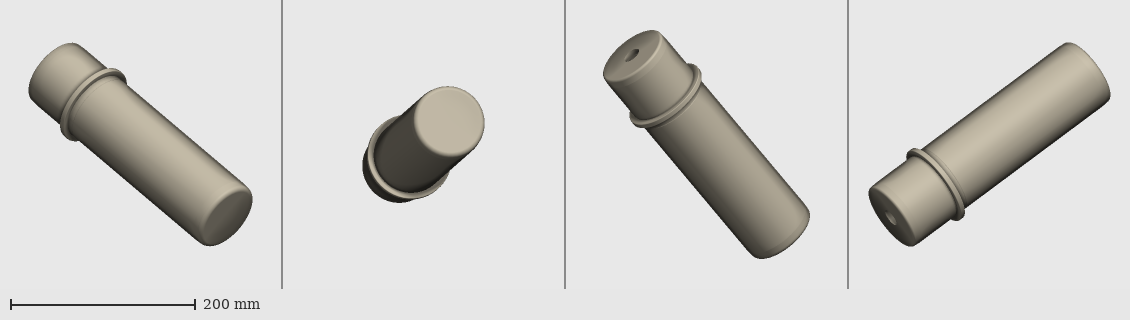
import cadquery as cq
import math

length = 280.0
body_radius = 40.0
flange_radius = 46.5
flange_start = 60.2
flange_end = 66.0
flange_edge_round = 0.8

taper_length = 6.7
taper_drop = 0.5
near_round = 2.8
far_round = 5.0

near_groove_width = 1.7
near_groove_depth = 0.5
relief_width = 7.8
relief_depth = 0.3
relief_entry_length = 1.7
relief_exit_length = 0.8

hole_radius = 7.5
counterbore_radius = 9.8
counterbore_depth = 6.5
hole_depth = 28.0
drill_point_angle = 120.0


def make_body():
    """Revolve the pin outline, including the lead-in tapers and rounded rims."""
    rim_radius = body_radius - taper_drop
    near_taper_start = near_round
    far_taper_end = length - far_round
    diagonal = 1 - math.sqrt(0.5)
    return (
        cq.Workplane("XY")
        .moveTo(0, 0)
        .lineTo(0, rim_radius - near_round)
        .threePointArc(
            (near_round * diagonal, rim_radius - near_round * diagonal),
            (near_taper_start, rim_radius),
        )
        .lineTo(near_taper_start + taper_length, body_radius)
        .lineTo(far_taper_end - taper_length, body_radius)
        .lineTo(far_taper_end, rim_radius)
        .threePointArc(
            (length - far_round * diagonal, rim_radius - far_round * diagonal),
            (length, rim_radius - far_round),
        )
        .lineTo(length, 0)
        .close()
        .revolve(360, (0, 0, 0), (1, 0, 0))
    )


def make_flange():
    """Collar with rounded outer edges."""
    collar = cq.Workplane("YZ", origin=(flange_start, 0, 0)).circle(flange_radius)
    return collar.extrude(flange_end - flange_start).edges().fillet(flange_edge_round)


def make_near_groove():
    """Ring that cuts a narrow square groove against the near face of the flange."""
    ring = cq.Workplane("YZ", origin=(flange_start - near_groove_width, 0, 0))
    ring = ring.circle(flange_radius).circle(body_radius - near_groove_depth)
    return ring.extrude(near_groove_width)


def make_far_relief():
    """Ring that cuts a shallow relief with sloped ends beyond the flange."""
    relief_end = flange_end + relief_width
    floor_radius = body_radius - relief_depth
    return (
        cq.Workplane("XY")
        .polyline([
            (flange_end, body_radius),
            (flange_end + relief_entry_length, floor_radius),
            (relief_end - relief_exit_length, floor_radius),
            (relief_end, body_radius),
        ])
        .close()
        .revolve(360, (0, 0, 0), (1, 0, 0))
    )


def make_center_hole():
    """Counterbored blind hole with a conical drill point."""
    point_depth = hole_radius / math.tan(math.radians(drill_point_angle / 2))
    return (
        cq.Workplane("XY")
        .polyline([
            (0, 0),
            (0, counterbore_radius),
            (counterbore_depth, counterbore_radius),
            (counterbore_depth, hole_radius),
            (hole_depth, hole_radius),
            (hole_depth + point_depth, 0),
        ])
        .close()
        .revolve(360, (0, 0, 0), (1, 0, 0))
    )


pin = make_body().cut(make_near_groove()).cut(make_far_relief())
result = pin.union(make_flange()).cut(make_center_hole())